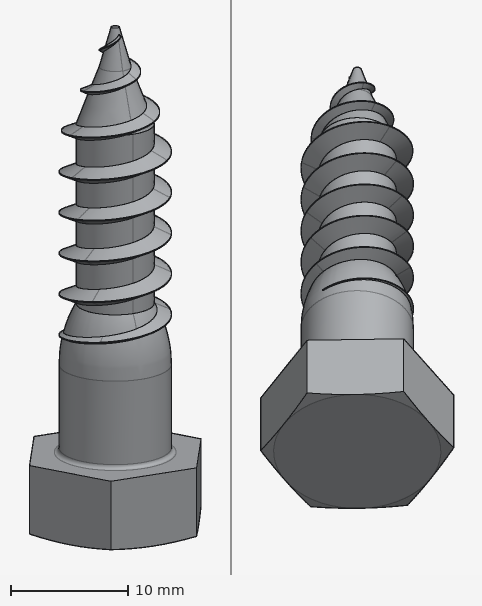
import cadquery as cq
import math

across_flats = 14.25
across_corners = across_flats / math.cos(math.pi / 6)
head_height = 6.4
head_chamfer_height = 0.25

total_length = 44.45
shank_radius = 4.8
neck_fillet = 0.4
shank_end_z = 14.25
core_radius = 3.35
core_start_z = 19.75
core_taper_z = 35.8
point_radius = 1.4
point_z = 40.9
tip_radius = 0.35

pitch = 3.65
crest_radius = shank_radius
phase_z = 34.5
thread_start_z = 15.3
thread_taper_z = 34.65
thread_end_z = 43.75
end_crest_radius = 0.75
buried_depth = 0.25
end_root_radius = 0.1
root_half_width = 0.85
end_root_half_width = 0.4
crest_half_width = 0.05
pieces_per_turn = 3
steps_per_piece = 6


def make_head():
    """Hexagon with flats facing +X and -X, its lower corners turned off."""
    hexagon = cq.Workplane("XY").polygon(6, across_corners).extrude(head_height)
    hexagon = hexagon.rotate((0, 0, 0), (0, 0, 1), 30)
    blank = (
        cq.Workplane("XZ")
        .lineTo(across_flats / 2, 0)
        .lineTo(across_corners / 2, head_chamfer_height)
        .lineTo(across_corners / 2, head_height)
        .lineTo(0, head_height)
        .close()
        .revolve(360, (0, 0), (0, 1))
    )
    return hexagon.intersect(blank)


def make_body():
    """Shank with a neck fillet, rounded shoulder, core and point."""
    return (
        cq.Workplane("XZ")
        .moveTo(0, head_height / 2)
        .lineTo(shank_radius + neck_fillet, head_height / 2)
        .lineTo(shank_radius + neck_fillet, head_height)
        .radiusArc((shank_radius, head_height + neck_fillet), neck_fillet)
        .lineTo(shank_radius, shank_end_z)
        .tangentArcPoint((core_radius, core_start_z), relative=False)
        .lineTo(core_radius, core_taper_z)
        .lineTo(point_radius, point_z)
        .lineTo(tip_radius, total_length)
        .lineTo(0, total_length)
        .close()
        .revolve(360, (0, 0), (0, 1))
    )


def helix_point(radius, z, offset):
    """Point of the helix at height z, moved up by offset."""
    angle = math.pi + 2 * math.pi * (z - phase_z) / pitch
    return cq.Vector(radius * math.cos(angle), radius * math.sin(angle), z + offset)


def thread_section(z):
    """Four corners of the thread profile whose centre is at height z."""
    taper = max(0, (z - thread_taper_z) / (thread_end_z - thread_taper_z))

    def blend(full, end):
        return full + (end - full) * taper

    crest = blend(crest_radius, end_crest_radius)
    root = blend(core_radius - buried_depth, end_root_radius)
    half_width = blend(root_half_width, end_root_half_width)
    return [
        helix_point(root, z, -half_width),
        helix_point(crest, z, -crest_half_width),
        helix_point(crest, z, crest_half_width),
        helix_point(root, z, half_width),
    ]


def make_thread():
    """One shell of ruled faces between the corner helices, split into short lengths."""
    length = thread_end_z - thread_start_z
    pieces = math.ceil(length / pitch * pieces_per_turn)
    faces = []
    for piece in range(pieces):
        first = piece * steps_per_piece
        sections = [
            thread_section(thread_start_z + length * (first + step) / (pieces * steps_per_piece))
            for step in range(steps_per_piece + 1)
        ]
        rails = [cq.Edge.makeSpline(list(corner)) for corner in zip(*sections)]
        faces += [cq.Face.makeRuledSurface(rails[i - 1], rails[i]) for i in range(len(rails))]
    for z in (thread_start_z, thread_end_z):
        outline = cq.Wire.makePolygon(thread_section(z), close=True)
        faces.append(cq.Face.makeFromWires(outline))
    solid = cq.Solid.makeSolid(cq.Shell.makeShell(faces))
    return cq.Workplane(solid.fix())


result = make_head().union(make_body()).union(make_thread())